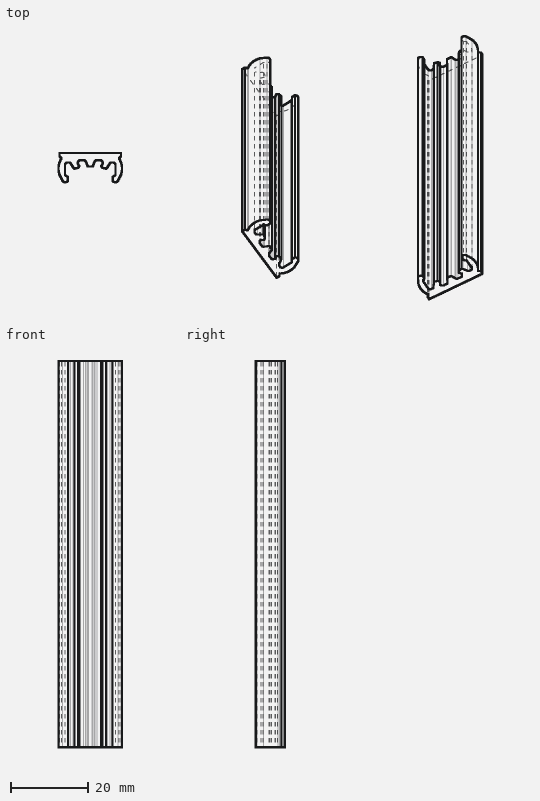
import cadquery as cq

length = 100.0
overall_width = 16.5
overall_depth = 7.6

back_half_width = 8.0
back_edge_height = 0.9
groove_half_width = 7.4
groove_depth = 1.3
groove_end_half_width = 7.7
groove_end_depth = 1.8

arm_bulge_depth = 4.2
arm_bend_half_width = 8.0
arm_bend_depth = 5.6
foot_outer_half_width = 7.2
foot_outer_depth = 7.2
foot_tip_half_width = 6.5
foot_inner_depth = 7.2
arm_inner_half_width = 6.5
lip_half_width = 5.8
lip_top_depth = 6.2
lip_slope_depth = 5.7

corner_floor_depth = 2.5
corner_floor_half_width = 5.2
corner_radius = 0.6

rib_outer_half_width = 4.4
rib_outer_depth = 3.8
rib_tip_half_width = 4.1
rib_tip_depth = 4.1
rib_inner_half_width = 3.2
rib_inner_depth = 3.9
rib_nose_half_width = 2.8
rib_nose_depth = 3.4
rib_neck_half_width = 3.3
rib_neck_depth = 2.6

channel_floor_depth = 1.9
channel_outer_half_width = 2.9
channel_inner_half_width = 1.4
center_rib_root_half_width = 1.1
center_rib_root_depth = 2.4
center_rib_tip_half_width = 0.65
center_rib_depth = 3.5

groove_radius = 0.1
channel_radius = 0.5
rib_radius = 0.2


def half_channel():
    """Extrude the half of the channel on the +X side of the centre plane."""
    profile = (
        cq.Workplane("XY")
        .moveTo(0, 0)
        .lineTo(back_half_width, 0)
        .lineTo(back_half_width, -back_edge_height)
        .lineTo(groove_half_width, -groove_depth)
        .lineTo(groove_end_half_width, -groove_end_depth)
        .threePointArc(
            (overall_width / 2, -arm_bulge_depth),
            (arm_bend_half_width, -arm_bend_depth),
        )
        .lineTo(foot_outer_half_width, -foot_outer_depth)
        .threePointArc(
            (foot_tip_half_width, -overall_depth),
            (lip_half_width, -foot_inner_depth),
        )
        .lineTo(lip_half_width, -lip_top_depth)
        .lineTo(arm_inner_half_width, -lip_slope_depth)
        .lineTo(arm_inner_half_width, -corner_floor_depth - corner_radius)
        .radiusArc((arm_inner_half_width - corner_radius, -corner_floor_depth), -corner_radius)
        .lineTo(corner_floor_half_width, -corner_floor_depth)
        .lineTo(rib_outer_half_width, -rib_outer_depth)
        .lineTo(rib_tip_half_width, -rib_tip_depth)
        .lineTo(rib_inner_half_width, -rib_inner_depth)
        .lineTo(rib_nose_half_width, -rib_nose_depth)
        .lineTo(rib_neck_half_width, -rib_neck_depth)
        .lineTo(channel_outer_half_width, -channel_floor_depth)
        .lineTo(channel_inner_half_width, -channel_floor_depth)
        .lineTo(center_rib_root_half_width, -center_rib_root_depth)
        .lineTo(center_rib_tip_half_width, -center_rib_depth)
        .lineTo(0, -center_rib_depth)
        .close()
    )
    return profile.extrude(length)


def round_corner(body, half_width, depth, radius):
    """Round the lengthwise edge at the given profile corner."""
    corner = (half_width, -depth, length / 2)
    return body.edges(cq.selectors.NearestToPointSelector(corner)).fillet(radius)


corners = [
    (groove_half_width, groove_depth, groove_radius),
    (channel_outer_half_width, channel_floor_depth, channel_radius),
    (channel_inner_half_width, channel_floor_depth, channel_radius),
    (corner_floor_half_width, corner_floor_depth, channel_radius),
    (rib_nose_half_width, rib_nose_depth, rib_radius),
    (center_rib_tip_half_width, center_rib_depth, rib_radius),
]

right_half = half_channel()
for half_width, depth, radius in corners:
    right_half = round_corner(right_half, half_width, depth, radius)
result = right_half.union(right_half.mirror("YZ")).clean()